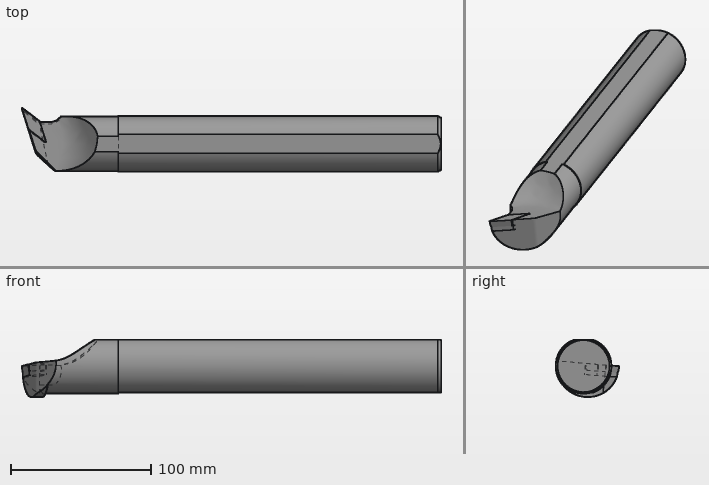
import cadquery as cq
import math


TOTAL_LENGTH = 299.28
TOTAL_HEIGHT = 41.0
TIP_Y = 25.62
TIP_Z = 0.0
RAKE_ANGLE = 5.0
FAR = 80.0

SHANK_RADIUS = 20.0
SHANK_START = 69.0
FLAT_HEIGHT = 18.83
CHAMFER_LENGTH = 2.6
CHAMFER_DEPTH = 1.5
NECK_RADIUS = 19.65

HEAD_RADIUS = TOTAL_HEIGHT - FLAT_HEIGHT
HEAD_OFFSET_Y = 3.0
HEAD_BACK_ANGLE = 12.0
HEAD_BACK_X = 15.3
FRONT_CORNER_DEPTH = 30.8
FRONT_BEVEL_ANGLE = 45.0
FRONT_CORNER_RADIUS = 5.0
RELIEF_DEPTH = 10.0
RELIEF_FLAT_END = 20.0
RELIEF_RUNOUT_RADIUS = 10.0

DISH_AXIS_Y = 2.5
DISH_START_X = 29.5
DISH_RISE = 36.0
DISH_SPREAD = 68.0
DISH_FLAT_LENGTH = 40.0
DISH_FLAT_POINTS = 8
DISH_RISE_LENGTH = 30.0
DISH_RISE_POINTS = 8
DISH_LEFT_Y = 3.0
DISH_RIGHT_Y = -49.0
DISH_SECTIONS = 5

INSERT_SIDE = 16.6
INSERT_CORNER_ANGLE = 35.0
INSERT_THICKNESS = 4.76
INSERT_CLEARANCE = 7.0
NOSE_RADIUS = 0.4
EDGE_LEAD = 17.5
SEAT_THICKNESS = 3.18

EDGE_INSET = INSERT_THICKNESS * math.tan(math.radians(INSERT_CLEARANCE))
RAKE_RADIANS = math.radians(RAKE_ANGLE)

head_plane = cq.Plane(
    origin=(0, TIP_Y, TIP_Z),
    xDir=(1, 0, 0),
    normal=(0, math.sin(RAKE_RADIANS), math.cos(RAKE_RADIANS)),
)


def step(start, angle, length):
    """Point at a distance from start; the angle turns from +X towards -Y."""
    turn = math.radians(angle)
    return (start[0] + length * math.cos(turn), start[1] - length * math.sin(turn))


FRONT_EDGE_ANGLE = 90 - EDGE_LEAD
BACK_EDGE_ANGLE = FRONT_EDGE_ANGLE - INSERT_CORNER_ANGLE
BISECTOR_ANGLE = (FRONT_EDGE_ANGLE + BACK_EDGE_ANGLE) / 2
HALF_CORNER = math.radians(INSERT_CORNER_ANGLE / 2)
NOSE_SETBACK = NOSE_RADIUS / math.sin(HALF_CORNER)

sharp_tip = step((NOSE_RADIUS, -NOSE_RADIUS), BISECTOR_ANGLE, -NOSE_SETBACK)
front_corner = step(sharp_tip, FRONT_EDGE_ANGLE, INSERT_SIDE)
back_corner = step(sharp_tip, BACK_EDGE_ANGLE, INSERT_SIDE)
inner_tip = step(front_corner, BACK_EDGE_ANGLE, INSERT_SIDE)
rhombus = [sharp_tip, front_corner, inner_tip, back_corner]


def insert_prism(top, thickness, taper=0.0):
    """Rhombic block with rounded acute corners, hanging down from a local height."""
    sketch = cq.Sketch().polygon(rhombus + rhombus[:1])
    sketch = sketch.vertices("<Y or >Y").fillet(NOSE_RADIUS)
    return (
        cq.Workplane(head_plane)
        .workplane(offset=top)
        .placeSketch(sketch)
        .extrude(-thickness, taper=taper)
    )


def head_block(outline):
    """Closed outline in the head plane, extruded far both ways."""
    return outline.close().extrude(FAR, both=True)


def side_relieved_block():
    """Space the bar may fill: front faces, side relief behind the insert, open at the rear."""
    tip_setback = EDGE_INSET / math.sin(HALF_CORNER)
    inset_tip = step(sharp_tip, BISECTOR_ANGLE, tip_setback)
    corner_length = (FRONT_CORNER_DEPTH + inset_tip[1]) / math.sin(math.radians(FRONT_EDGE_ANGLE))
    bevel_start = step(inset_tip, FRONT_EDGE_ANGLE, corner_length)
    bevel_end = step(bevel_start, FRONT_BEVEL_ANGLE, FAR)
    relief_length = (RELIEF_DEPTH + inset_tip[1]) / math.sin(math.radians(BACK_EDGE_ANGLE))
    relief_start = step(inset_tip, BACK_EDGE_ANGLE, relief_length)
    runout_end = (RELIEF_FLAT_END + RELIEF_RUNOUT_RADIUS, RELIEF_RUNOUT_RADIUS - RELIEF_DEPTH)
    outline = (
        cq.Workplane(head_plane)
        .moveTo(*inset_tip)
        .lineTo(*bevel_start)
        .lineTo(*bevel_end)
        .lineTo(TOTAL_LENGTH + FAR, bevel_end[1])
        .lineTo(TOTAL_LENGTH + FAR, FAR)
        .lineTo(runout_end[0], FAR)
        .lineTo(*runout_end)
        .radiusArc((RELIEF_FLAT_END, -RELIEF_DEPTH), RELIEF_RUNOUT_RADIUS)
        .lineTo(*relief_start)
    )
    corner_edge = cq.selectors.NearestToPointSelector(
        head_plane.toWorldCoords((bevel_start[0], bevel_start[1], 0))
    )
    return head_block(outline).edges(corner_edge).fillet(FRONT_CORNER_RADIUS)


def head_cylinder():
    """Wider eccentric cylinder of the head, ended by a slanted back face."""
    cylinder = cq.Workplane("YZ").center(HEAD_OFFSET_Y, 0).circle(HEAD_RADIUS).extrude(FAR)
    back_middle = (HEAD_BACK_X, HEAD_OFFSET_Y - TIP_Y)
    left, right = (step(back_middle, 90 - HEAD_BACK_ANGLE, side * FAR) for side in (-1, 1))
    front_part = head_block(
        cq.Workplane(head_plane).polyline([left, right, (-FAR, right[1]), (-FAR, left[1])])
    )
    return cylinder.intersect(front_part)


def dish_section(y):
    """Outline across the dish at one local Y: flat rake, smooth rise, closed far above."""
    rise_start = DISH_START_X - (y + TIP_Y - DISH_AXIS_Y) ** 2 / DISH_SPREAD
    plane = cq.Plane(
        origin=head_plane.toWorldCoords((rise_start, y, 0)),
        xDir=head_plane.xDir,
        normal=-head_plane.yDir,
    )
    runs = [DISH_FLAT_LENGTH * (i / DISH_FLAT_POINTS - 1) for i in range(DISH_FLAT_POINTS)]
    runs += [DISH_RISE_LENGTH * i / DISH_RISE_POINTS for i in range(DISH_RISE_POINTS + 1)]
    profile = [(run, max(run, 0) ** 2 / DISH_RISE) for run in runs]
    return (
        cq.Workplane(plane)
        .spline(profile)
        .lineTo(runs[-1], FAR)
        .lineTo(runs[0], FAR)
        .close()
        .val()
    )


def dish_cutter():
    """Everything above the rake face and its smooth rise into the neck, as one loft."""
    spacing = (DISH_LEFT_Y - DISH_RIGHT_Y) / (DISH_SECTIONS - 1)
    sections = [dish_section(DISH_LEFT_Y - i * spacing) for i in range(DISH_SECTIONS)]
    return cq.Workplane(cq.Solid.makeLoft(sections))


def shank():
    """Chamfered round shank with a flat on top and bottom."""
    shank_length = TOTAL_LENGTH - SHANK_START
    rod = cq.Workplane("YZ").workplane(offset=SHANK_START).circle(SHANK_RADIUS).extrude(shank_length)
    rod = rod.faces(">X").chamfer(CHAMFER_LENGTH, CHAMFER_DEPTH)
    return rod.intersect(cq.Workplane().box(2 * TOTAL_LENGTH, FAR, 2 * FLAT_HEIGHT))


def neck():
    """Round neck with a flat on top only."""
    cylinder = cq.Workplane("YZ").circle(NECK_RADIUS).extrude(SHANK_START)
    above_flat = cq.Workplane(origin=(0, 0, FLAT_HEIGHT)).box(
        2 * TOTAL_LENGTH, FAR, FAR, centered=(True, True, False)
    )
    return cylinder.cut(above_flat)


head_stock = neck().union(head_cylinder()).intersect(side_relieved_block()).cut(dish_cutter())
pocket = insert_prism(FAR, FAR + INSERT_THICKNESS + SEAT_THICKNESS)

bar = shank().union(head_stock.cut(pocket))

seat = insert_prism(-INSERT_THICKNESS, SEAT_THICKNESS).intersect(head_stock)
insert = insert_prism(0, INSERT_THICKNESS, INSERT_CLEARANCE).union(seat)

result = cq.Compound.makeCompound([bar.val(), insert.val()])